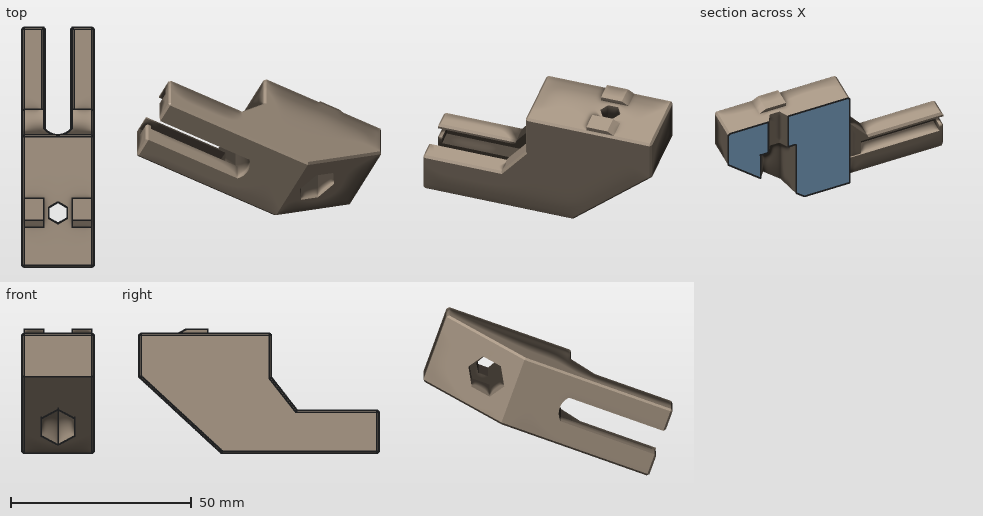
import cadquery as cq
import math

length = 66.4
width = 20.0
body_height = 33.3
edge_chamfer = 0.6

arm_height = 12.0
arm_length = 22.7
step_y = 36.65
shoulder_top_z = 21.0
incline_start_y = 22.9
incline_top_z = 21.2

slot_width = 7.8
lower_slot_width = 7.05
slot_end_radius = 5.05
slot_end_y = step_y

channel_width = 15.6
channel_floor_z = 6.0
channel_ceiling_z = 10.75
lip_thickness = 1.3
lip_top_z = 8.1
lip_corner_radius = 0.8

hex_center_y = 15.1
hole_across_corners = 5.85
pocket_across_corners = 10.55
pocket_ceiling_z = incline_top_z

rib_height = 1.1
rib_inner_x = 3.9
rib_outer_x = width / 2 - edge_chamfer
rib_back_y = 19.05
rib_ramp_top_y = 13.0
rib_ramp_foot_y = 11.1


def block(size_x, start_y, end_y, start_z, end_z):
    """Box centred on X = 0."""
    return (
        cq.Workplane("XY", origin=(0, (start_y + end_y) / 2, start_z))
        .box(size_x, end_y - start_y, end_z - start_z, centered=(True, True, False))
    )


def make_body():
    outline = [
        (0, incline_top_z),
        (incline_start_y, 0),
        (length, 0),
        (length, arm_height),
        (length - arm_length, arm_height),
        (step_y, shoulder_top_z),
        (step_y, body_height),
        (0, body_height),
    ]
    return cq.Workplane("YZ").polyline(outline).close().extrude(width / 2, both=True)


def chamfer_outside(body):
    side_edges = body.faces("<X or >X").edges()
    fork_end_edges = body.faces(">Y").edges("|X")
    top_edges = body.faces(">Z").edges("|X")
    return side_edges.add(fork_end_edges).add(top_edges).chamfer(edge_chamfer)


def slot_cutter(opening, start_z, end_z):
    """Slot open at the fork end and closed by a shallow arc."""
    end_center_y = slot_end_y + slot_end_radius
    straight = block(opening, end_center_y, length, start_z, end_z)
    rounded = (
        cq.Workplane("XY", origin=(0, end_center_y, start_z))
        .circle(slot_end_radius)
        .extrude(end_z - start_z)
        .intersect(block(opening, slot_end_y, length, start_z, end_z))
    )
    return straight.union(rounded)


def flare_outline(workplane, opening, edge):
    """Trapezoid that widens an opening by 45 degrees up to the given edge."""
    half = opening / 2
    points = [
        (-half, edge - edge_chamfer),
        (-half - edge_chamfer, edge),
        (half + edge_chamfer, edge),
        (half, edge - edge_chamfer),
    ]
    return workplane.polyline(points).close()


def mouth_relief():
    """Relief of the upright edges of the lower slot at the fork end."""
    return flare_outline(cq.Workplane("XY"), lower_slot_width, length).extrude(lip_top_z)


def plate_edge_relief(start_y):
    """Relief along the top edges of the slot through the fork."""
    plane = cq.Workplane("XZ", origin=(0, length, 0))
    return flare_outline(plane, slot_width, arm_height).extrude(length - start_y)


def lip_edge_relief():
    """45 degree relief along the outer top edge of the lip."""
    points = [
        (length, lip_top_z),
        (length - edge_chamfer, lip_top_z),
        (length, lip_top_z - edge_chamfer),
    ]
    return cq.Workplane("YZ").polyline(points).close().extrude(channel_width / 2, both=True)


def lip_corner_relief(side):
    """Rounds the top corner of the lip beside the slot."""
    wall_x = side * lower_slot_width / 2
    round_x = wall_x + side * lip_corner_radius
    round_z = lip_top_z - lip_corner_radius
    diagonal = lip_corner_radius * math.sqrt(0.5)
    return (
        cq.Workplane("XZ", origin=(0, length, 0))
        .moveTo(wall_x, round_z)
        .threePointArc((round_x - side * diagonal, round_z + diagonal), (round_x, lip_top_z))
        .lineTo(wall_x, lip_top_z)
        .close()
        .extrude(lip_thickness)
    )


def cut_fork(body):
    foot_y = length - arm_length
    channel_start_y = slot_end_y + slot_end_radius
    channel_end_y = length - lip_thickness

    upper_slot = slot_cutter(slot_width, channel_floor_z, body_height)
    upper_slot = upper_slot.intersect(block(width, slot_end_y, channel_end_y, 0, body_height))
    body = body.cut(upper_slot)
    body = body.cut(slot_cutter(lower_slot_width, 0, arm_height))
    body = body.cut(block(slot_width, foot_y, length, channel_ceiling_z, arm_height))
    body = body.cut(plate_edge_relief(foot_y))

    body = body.cut(block(channel_width, channel_start_y, channel_end_y, channel_floor_z, channel_ceiling_z))
    body = body.cut(block(channel_width, channel_end_y, length, lip_top_z, channel_ceiling_z))

    body = body.cut(lip_edge_relief())
    for side in (-1, 1):
        body = body.cut(lip_corner_relief(side))
    return body.cut(mouth_relief())


def hex_cutter(across_corners, start_z, end_z):
    """Upright hexagonal prism with corners pointing along Y."""
    return (
        cq.Workplane("XY", origin=(0, hex_center_y, start_z))
        .transformed(rotate=(0, 0, 90))
        .polygon(6, across_corners)
        .extrude(end_z - start_z)
    )


def make_rib(side):
    profile = [
        (rib_back_y, body_height),
        (rib_back_y, body_height + rib_height),
        (rib_ramp_top_y, body_height + rib_height),
        (rib_ramp_foot_y, body_height),
    ]
    return (
        cq.Workplane("YZ", origin=(side * rib_inner_x, 0, 0))
        .polyline(profile)
        .close()
        .extrude(side * (rib_outer_x - rib_inner_x))
    )


result = cut_fork(chamfer_outside(make_body()))
result = result.cut(hex_cutter(hole_across_corners, 0, body_height))
result = result.cut(hex_cutter(pocket_across_corners, 0, pocket_ceiling_z))
for side in (-1, 1):
    result = result.union(make_rib(side))